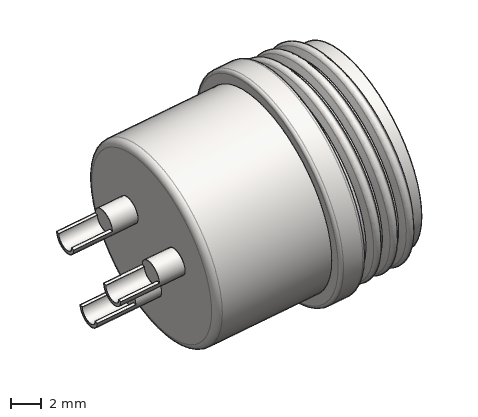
import cadquery as cq
import math

body_radius = 7.5
body_length = 16.0
front_edge_fillet = 0.5

flange_radius = 8.5
flange_start = 9.0
flange_width = 2.0
flange_edge_fillet = 0.25

thread_pitch = 1.27
thread_travel = 4.0
thread_crest_radius = 8.15
thread_foot_half_width = 0.6
thread_flank_angle = math.radians(30)
thread_embed_depth = 0.05

pin_radius = 1.0
pin_length = 5.0
cup_radius = 0.75
cup_length = 3.0
pin_group_x = 0.15
upper_pin_spacing = 5.5
upper_pin_z = 1.13
lower_pin_drop = 4.5
pin_root_depth = 0.5
pin_centers = [
    (pin_group_x - upper_pin_spacing / 2, upper_pin_z),
    (pin_group_x + upper_pin_spacing / 2, upper_pin_z),
    (pin_group_x, upper_pin_z - lower_pin_drop),
]


def cylinder_along_y(radius, start, length, x=0.0, z=0.0):
    """Round bar running toward +Y from Y = start."""
    base = cq.Plane(origin=(x, start, z), xDir=(1, 0, 0), normal=(0, 1, 0))
    return cq.Workplane(base).circle(radius).extrude(length)


def make_barrel():
    return cylinder_along_y(body_radius, 0, body_length).faces("<Y").edges().fillet(front_edge_fillet)


def make_flange():
    disc = cylinder_along_y(flange_radius, flange_start, flange_width)
    return disc.edges().fillet(flange_edge_fillet)


def make_thread():
    """Right-hand ridge that starts at -X on the back end and winds toward the flange."""
    foot_radius = body_radius - thread_embed_depth

    ridge_height = thread_crest_radius - foot_radius
    sharp_height = thread_foot_half_width / math.tan(thread_flank_angle)
    sin_flank = math.sin(thread_flank_angle)
    crest_arc_radius = (sharp_height - ridge_height) * sin_flank / (1 - sin_flank)
    arc_half_width = crest_arc_radius * math.cos(thread_flank_angle)
    arc_start_radius = thread_crest_radius - crest_arc_radius * (1 - sin_flank)

    profile = (
        cq.Workplane("XZ")
        .moveTo(foot_radius, -thread_foot_half_width)
        .lineTo(arc_start_radius, -arc_half_width)
        .threePointArc((thread_crest_radius, 0), (arc_start_radius, arc_half_width))
        .lineTo(foot_radius, thread_foot_half_width)
        .close()
    )
    helix = cq.Wire.makeHelix(thread_pitch, thread_travel, body_radius)
    ridge = profile.sweep(cq.Workplane(helix), isFrenet=True)

    thread_frame = cq.Plane(
        origin=(0, body_length - thread_foot_half_width, 0), xDir=(-1, 0, 0), normal=(0, -1, 0)
    )
    return cq.Workplane(ridge.val().moved(cq.Location(thread_frame)))


def make_pin(x, z):
    """Pin whose outer end is bored and has its upper half cut away to form a solder cup."""
    pin = cylinder_along_y(pin_radius, -pin_length, pin_length + pin_root_depth, x, z)
    bore = cylinder_along_y(cup_radius, -pin_length, cup_length, x, z)
    upper_half = (
        cq.Workplane("XY")
        .box(2 * pin_radius, cup_length, pin_radius, centered=(True, False, False))
        .translate((x, -pin_length, z))
    )
    return pin.cut(bore).cut(upper_half)


result = make_barrel().union(make_flange()).union(make_thread())
for pin_x, pin_z in pin_centers:
    result = result.union(make_pin(pin_x, pin_z))